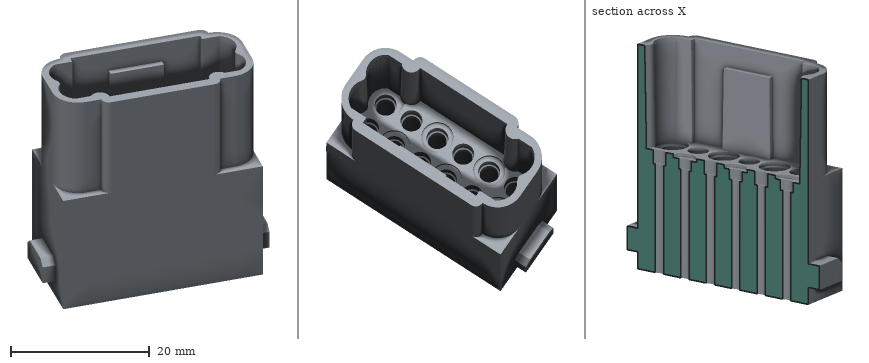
import cadquery as cq
import math

body_width = 14.6
body_length = 30.28
overall_length = 34.1
body_height = 18.5
total_height = 34.0

pitch = 4.5
hole_columns = 2
hole_rows = 6
bore_diameter = 2.7
mouth_diameter = 3.17
mouth_depth = 2.05
seat_diameter = 4.65
seat_depth = 0.5

shroud_end_width = 12.25
left_step_y = 11.22
shroud_step_radius = 1.15

cavity_half_width = 5.73
cavity_end_half_width = 4.8
left_recess_y = 9.85
lobe_radius = 2.83
cusp_radius = 1.0
bump_radius = 1.4
bump_center_x = 5.63
wall_draft = 1.0

rib_length = 8.05
rib_height = 12.28

tab_bottom = 2.55
tab_height = 3.65
tab_reach = (overall_length - body_length) / 2
tab_chamfer_height = 0.95
front_tab_width = 7.13
front_tab_chamfer = 1.05
rear_tab_width = 9.05
rear_tab_chamfer = 0.95

column_x = pitch * (hole_columns - 1) / 2
end_row_y = pitch * (hole_rows - 1) / 2
right_step_y = end_row_y - column_x
shroud_height = total_height - body_height
cavity_depth = shroud_height + seat_depth
holes = [
    (column, row, column * pitch - column_x, row * pitch - end_row_y)
    for column in range(hole_columns)
    for row in range(hole_rows)
]


def make_body():
    return cq.Workplane("XY").box(body_width, body_length, body_height, centered=(True, True, False))


def shroud_side(x_min, step_y):
    """Wide side of the shroud, with its two outer corners rounded."""
    outer_edges = "<X and |Z" if x_min < 0 else ">X and |Z"
    return (
        cq.Workplane("XY", origin=(x_min, -step_y, body_height))
        .box(body_width / 2, 2 * step_y, shroud_height, centered=False)
        .edges(outer_edges)
        .fillet(shroud_step_radius)
    )


def make_shroud():
    end_radius = shroud_end_width / 2 - column_x
    core = (
        cq.Workplane("XY", origin=(0, 0, body_height))
        .rect(shroud_end_width, body_length)
        .extrude(shroud_height)
        .edges("|Z")
        .fillet(end_radius)
    )
    left = shroud_side(-body_width / 2, left_step_y)
    right = shroud_side(0, right_step_y)
    return core.union(left).union(right)


def make_drafted_cavity():
    """Drafted cavity, seat depth included; each end has two lobes with a rounded cusp between."""
    lobe_side_y = end_row_y + math.sqrt(lobe_radius**2 - (cavity_end_half_width - column_x) ** 2)
    lobe_top_y = end_row_y + lobe_radius

    center_distance = lobe_radius + cusp_radius
    cusp_rise = math.sqrt(center_distance**2 - column_x**2)
    cusp_tip_y = end_row_y + cusp_rise - cusp_radius
    cusp_end_x = column_x * cusp_radius / center_distance
    cusp_end_y = end_row_y + cusp_rise * lobe_radius / center_distance

    bump_start_y = right_step_y - math.sqrt(bump_radius**2 - (cavity_half_width - bump_center_x) ** 2)
    bump_end_y = right_step_y + math.sqrt(bump_radius**2 - (bump_center_x - cavity_end_half_width) ** 2)

    return (
        cq.Workplane("XY", origin=(0, 0, total_height))
        .moveTo(cavity_half_width, 0)
        .lineTo(cavity_half_width, bump_start_y)
        .threePointArc((bump_center_x - bump_radius, right_step_y), (cavity_end_half_width, bump_end_y))
        .lineTo(cavity_end_half_width, lobe_side_y)
        .threePointArc((column_x, lobe_top_y), (cusp_end_x, cusp_end_y))
        .threePointArc((0, cusp_tip_y), (-cusp_end_x, cusp_end_y))
        .threePointArc((-column_x, lobe_top_y), (-cavity_end_half_width, lobe_side_y))
        .lineTo(-cavity_end_half_width, left_recess_y)
        .lineTo(-cavity_half_width, left_recess_y)
        .lineTo(-cavity_half_width, 0)
        .mirrorX()
        .extrude(-cavity_depth, taper=wall_draft)
    )


def make_rib():
    """Drafted rib whose face is flush with the narrow end walls of the cavity."""
    height = rib_height + seat_depth
    top_z = body_height + rib_height
    face_x = -cavity_end_half_width + (total_height - top_z) * math.tan(math.radians(wall_draft))
    back_x = -body_width / 2
    return (
        cq.Workplane("XY", origin=((face_x + back_x) / 2, 0, top_z))
        .rect(face_x - back_x, rib_length)
        .extrude(-height, taper=-wall_draft)
    )


def bore_down(x, y, top_z, diameter, depth):
    return cq.Workplane("XY", origin=(x, y, top_z)).circle(diameter / 2).extrude(-depth)


def block_down(x_range, y_range, top_z, depth):
    corner = (x_range[0], y_range[0], top_z - depth)
    size = (x_range[1] - x_range[0], y_range[1] - y_range[0], depth)
    return cq.Workplane("XY", origin=corner).box(*size, centered=False)


def has_seat(column, row):
    """Seats alternate between the columns, starting at the front left hole."""
    return (column + row) % 2 == 0


def make_cavity_floor():
    """Plate between the contact seats; the seats at the two end rows open into the end walls."""
    seat_radius = seat_diameter / 2
    half_length = body_length / 2
    half_width = body_width / 2
    floor = block_down((-half_width, half_width), (-half_length, half_length), body_height, seat_depth)
    for column, row, x, y in holes:
        if has_seat(column, row):
            floor = floor.cut(bore_down(x, y, body_height, seat_diameter, seat_depth))

    front_left = block_down(
        (-half_width, -column_x + seat_radius), (-half_length, -end_row_y), body_height, seat_depth
    )
    rear = block_down(
        (column_x - seat_radius, half_width), (end_row_y, half_length), body_height, seat_depth
    )
    right = block_down(
        (column_x, half_width), (end_row_y - seat_radius, half_length), body_height, seat_depth
    )
    return floor.cut(front_left).cut(rear).cut(right)


def make_tab(width, chamfer, direction):
    """Tab on the front (-1) or rear (+1) face, with its two upper corners cut off."""
    half_width = width / 2
    tab_top = tab_bottom + tab_height
    shoulder = tab_top - tab_chamfer_height
    outline = [
        (-half_width, tab_bottom),
        (half_width, tab_bottom),
        (half_width, shoulder),
        (half_width - chamfer, tab_top),
        (-half_width + chamfer, tab_top),
        (-half_width, shoulder),
    ]
    return (
        cq.Workplane("XZ", origin=(0, direction * body_length / 2, 0))
        .polyline(outline)
        .close()
        .extrude(-direction * tab_reach)
    )


cavity = make_drafted_cavity().cut(make_rib()).cut(make_cavity_floor())

result = make_body().union(make_shroud()).cut(cavity)
for _, _, x, y in holes:
    result = result.cut(bore_down(x, y, body_height, bore_diameter, body_height))
    result = result.cut(bore_down(x, y, body_height, mouth_diameter, mouth_depth))

result = result.union(make_tab(front_tab_width, front_tab_chamfer, -1))
result = result.union(make_tab(rear_tab_width, rear_tab_chamfer, 1))